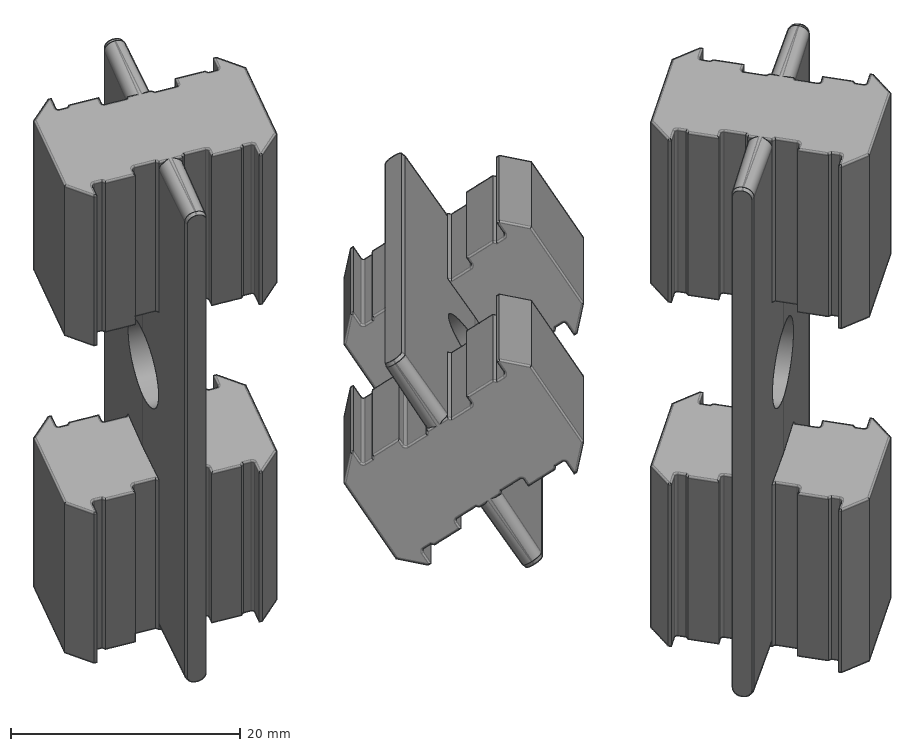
import cadquery as cq
LENGTH = 59.5
PLATE_WIDTH = 22.4
BLOCK_DEPTH = 19.6

PLATE_CENTRE_THICKNESS = 2.3
PLATE_EDGE_THICKNESS = 1.95
PLATE_END_ROUND = 0.95
PLATE_SIDE_CHAMFER_X = 0.35
PLATE_SIDE_CHAMFER_Y = 0.1
HOLE_DIAMETER = 8.2

BLOCK_LENGTH = 19.15
BLOCK_END_ROUND = 0.2
INNER_ROUND = 0.25
PLATE_ROOT_BEVEL = 0.25

WAIST_HALF_WIDTH = 4.0
PAD_HALF_WIDTH = 4.95
HOOK_HALF_WIDTH = 6.2
HOOK_BEVEL = 2.0
HOOK_TIP_HEIGHT = 0.3
GROOVE_WIDTH = 1.2
GROOVE_DEPTH = 0.25
PAD_START = 3.5


def plate_half_thickness(x):
    """Distance of the plate face from the centre plane at the distance `x` from the centre line."""
    taper = (PLATE_CENTRE_THICKNESS - PLATE_EDGE_THICKNESS) / PLATE_WIDTH
    return PLATE_CENTRE_THICKNESS / 2 - taper * x


def make_plate():
    """Tapered web over the full length with chamfered side edges and rounded ends."""
    half_width = PLATE_WIDTH / 2
    half_edge = plate_half_thickness(half_width)
    half_centre = plate_half_thickness(0)
    half_plate = (
        cq.Workplane("XY")
        .polyline([
            (0, -half_centre),
            (half_width, -half_edge),
            (half_width, half_edge),
            (0, half_centre),
        ])
        .close()
        .extrude(LENGTH)
    )
    half_plate = half_plate.faces("<Z or >Z").edges("<Y or >Y").fillet(PLATE_END_ROUND)
    half_plate = half_plate.faces(">X").chamfer(PLATE_SIDE_CHAMFER_X, PLATE_SIDE_CHAMFER_Y)
    return half_plate.union(half_plate.mirror("YZ"))


def block_quarter_points():
    """Profile corners from the plate root to the outer face, for +X and +Y."""
    outer = BLOCK_DEPTH / 2
    tip_top = outer - HOOK_BEVEL
    hook_underside = tip_top - HOOK_TIP_HEIGHT
    pad_end = hook_underside - GROOVE_WIDTH
    groove_half_width = PAD_HALF_WIDTH - GROOVE_DEPTH
    root_x = WAIST_HALF_WIDTH + PLATE_ROOT_BEVEL
    root_y = plate_half_thickness(root_x)
    return [
        (root_x, root_y),
        (WAIST_HALF_WIDTH, root_y + PLATE_ROOT_BEVEL),
        (WAIST_HALF_WIDTH, PAD_START),
        (PAD_HALF_WIDTH, PAD_START),
        (PAD_HALF_WIDTH, pad_end),
        (groove_half_width, pad_end + GROOVE_DEPTH),
        (groove_half_width, hook_underside),
        (HOOK_HALF_WIDTH, hook_underside),
        (HOOK_HALF_WIDTH, tip_top),
        (HOOK_HALF_WIDTH - HOOK_BEVEL, outer),
    ]


def make_block(bottom):
    """Hooked block, symmetric in X and Y, standing on the height `bottom`."""
    quarter = block_quarter_points()
    right = [(x, -y) for x, y in reversed(quarter)] + quarter
    left = [(-x, -y) for x, y in right]
    block = cq.Workplane("XY", origin=(0, 0, bottom)).polyline(right + left).close().extrude(BLOCK_LENGTH)

    waist_x, waist_y = quarter[2]
    root_x, root_y = quarter[6]
    for x, y in [(waist_x, waist_y), (root_x, root_y)]:
        for side_x in (-1, 1):
            for side_y in (-1, 1):
                corner = (side_x * x, side_y * y, bottom + BLOCK_LENGTH / 2)
                block = block.edges(cq.selectors.NearestToPointSelector(corner)).fillet(INNER_ROUND)

    return block.faces("<Z or >Z").fillet(BLOCK_END_ROUND)


part = make_plate().union(make_block(0)).union(make_block(LENGTH - BLOCK_LENGTH))

hole = (
    cq.Workplane("XZ", origin=(0, BLOCK_DEPTH / 2, LENGTH / 2))
    .circle(HOLE_DIAMETER / 2)
    .extrude(BLOCK_DEPTH)
)
result = part.cut(hole)